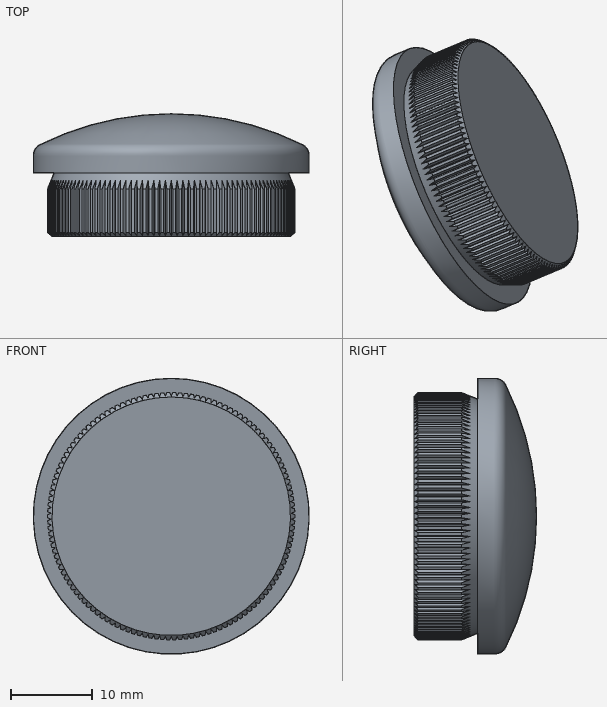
import cadquery as cq
import math


total_height = 15.0
rim_radius = 16.85
head_underside = 7.8
rim_top = 9.87
rim_fillet = 1.5

plug_radius = 15.1
neck_radius = 14.32
base_radius = 14.55
base_chamfer_height = 0.5
neck_start = 5.83

groove_count = 130
groove_depth = 0.4
groove_angle = 50.0
groove_overshoot = 0.1


def make_head():
    """Turned rim whose fillet runs tangent into a spherical dome."""
    fillet_center_r = rim_radius - rim_fillet
    crown_rise = total_height - rim_top
    dome_radius = (fillet_center_r**2 + crown_rise**2 - rim_fillet**2) / (2 * (crown_rise - rim_fillet))
    dome_center_y = total_height - dome_radius
    tangent_angle = math.atan2(fillet_center_r, rim_top - dome_center_y)

    def dome_point(angle):
        return (dome_center_y + dome_radius * math.cos(angle), dome_radius * math.sin(angle))

    fillet_mid_angle = (tangent_angle + math.pi / 2) / 2
    fillet_mid = (
        rim_top + rim_fillet * math.cos(fillet_mid_angle),
        fillet_center_r + rim_fillet * math.sin(fillet_mid_angle),
    )
    return (
        cq.Workplane("YZ")
        .moveTo(head_underside, 0)
        .lineTo(head_underside, rim_radius)
        .lineTo(rim_top, rim_radius)
        .threePointArc(fillet_mid, dome_point(tangent_angle))
        .threePointArc(dome_point(tangent_angle / 2), (total_height, 0))
        .close()
        .revolve(360, (0, 0, 0), (1, 0, 0))
    )


def make_plug():
    """Turned plug with a chamfered base and a neck tapering in towards the head."""
    profile = [
        (0, 0),
        (0, base_radius),
        (base_chamfer_height, plug_radius),
        (neck_start, plug_radius),
        (head_underside, neck_radius),
        (head_underside, 0),
    ]
    return cq.Workplane("YZ").polyline(profile).close().revolve(360, (0, 0, 0), (1, 0, 0))


def make_knurl_grooves():
    """Ring of straight V grooves along Y, one of them pointing to +Z."""
    root_radius = plug_radius - groove_depth
    cutter_height = groove_depth + groove_overshoot
    half_width = cutter_height * math.tan(math.radians(groove_angle / 2))
    outer_radius = root_radius + cutter_height
    groove = (
        cq.Workplane("XZ")
        .polyline([(0, root_radius), (half_width, outer_radius), (-half_width, outer_radius)])
        .close()
        .extrude(-head_underside)
        .val()
    )
    pitch_angle = 360 / groove_count
    grooves = [
        groove.rotate(cq.Vector(0, 0, 0), cq.Vector(0, 1, 0), i * pitch_angle)
        for i in range(groove_count)
    ]
    return cq.Workplane(cq.Compound.makeCompound(grooves))


knurled_plug = make_plug().cut(make_knurl_grooves())
result = make_head().union(knurled_plug)